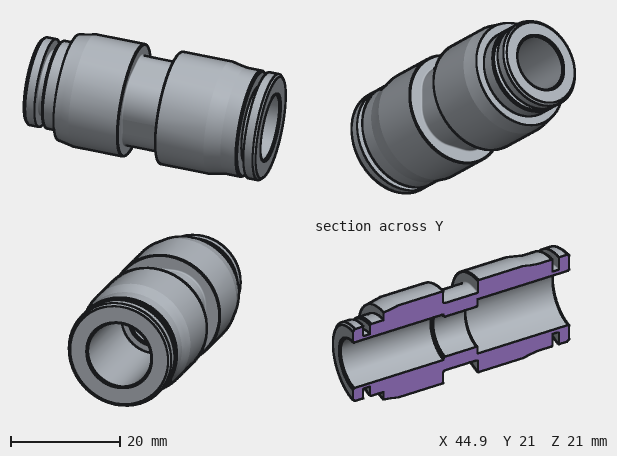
import cadquery as cq
import math

LENGTH = 44.9

FLANGE_WIDTH = 2.2
FLANGE_CHAMFER = 0.45
NECK_FILLET = 0.22
COLLAR_CHAMFER_LENGTH = 0.25
COLLAR_CHAMFER_DEPTH = 0.22
BODY_RADIUS = 10.5
CONE_SMALL_RADIUS = 9.92
CONE_LENGTH = 3.05
BODY_EDGE_CHAMFER = 0.15

WAIST_START = 18.8
WAIST_END = 25.9
WAIST_WIDTH = 15.35
WAIST_FLAT_WIDTH = 3.4
WAIST_CORNER_RADIUS = (WAIST_WIDTH - WAIST_FLAT_WIDTH) / 2
WAIST_FILLET = 0.25

SMALL_FLANGE_RADIUS = 8.2
SMALL_NECK_RADIUS = 6.0
SMALL_COLLAR_START = 3.55
SMALL_CONE_START = 6.38
SMALL_BORE_RADIUS = 5.1

LARGE_NECK_RADIUS = 7.15
LARGE_COLLAR_START = 3.45
LARGE_CONE_START = 6.55
LARGE_BORE_RADIUS = 6.1

PASSAGE_RADIUS = 4.5
PASSAGE_CHAMFER = 0.25
MOUTH_CHAMFER = 0.25


def sleeve(flange_radius, neck_radius, collar_start, cone_start, bore_radius):
    """Revolve flange, neck and collar, from the end face at X = 0 toward +X."""
    fillet_offset = NECK_FILLET * (1 - math.sqrt(0.5))
    return (
        cq.Workplane("XY")
        .moveTo(0, bore_radius + MOUTH_CHAMFER)
        .lineTo(0, flange_radius - FLANGE_CHAMFER)
        .lineTo(FLANGE_CHAMFER, flange_radius)
        .lineTo(FLANGE_WIDTH, flange_radius)
        .lineTo(FLANGE_WIDTH, neck_radius + NECK_FILLET)
        .threePointArc(
            (FLANGE_WIDTH + fillet_offset, neck_radius + fillet_offset),
            (FLANGE_WIDTH + NECK_FILLET, neck_radius),
        )
        .lineTo(collar_start, neck_radius)
        .lineTo(collar_start, flange_radius - COLLAR_CHAMFER_DEPTH)
        .lineTo(collar_start + COLLAR_CHAMFER_LENGTH, flange_radius)
        .lineTo(cone_start, flange_radius)
        .lineTo(cone_start, bore_radius)
        .lineTo(MOUTH_CHAMFER, bore_radius)
        .close()
        .revolve(360, (0, 0, 0), (1, 0, 0))
    )


def body(cone_start, bore_radius, body_end):
    """Revolve the coned body; its socket runs through to body_end."""
    return (
        cq.Workplane("XY")
        .moveTo(cone_start, bore_radius)
        .lineTo(cone_start, CONE_SMALL_RADIUS)
        .lineTo(cone_start + CONE_LENGTH, BODY_RADIUS)
        .lineTo(body_end - BODY_EDGE_CHAMFER, BODY_RADIUS)
        .lineTo(body_end, BODY_RADIUS - BODY_EDGE_CHAMFER)
        .lineTo(body_end, bore_radius)
        .close()
        .revolve(360, (0, 0, 0), (1, 0, 0))
    )


def fitting_end(flange_radius, neck_radius, collar_start, cone_start, bore_radius, body_end):
    """Join a sleeve to its body."""
    return sleeve(flange_radius, neck_radius, collar_start, cone_start, bore_radius).union(
        body(cone_start, bore_radius, body_end)
    )


def waist():
    """Build the rounded-square waist with the central passage through it."""
    return (
        cq.Workplane("YZ")
        .workplane(offset=WAIST_START - LENGTH / 2)
        .rect(WAIST_WIDTH, WAIST_WIDTH)
        .extrude(WAIST_END - WAIST_START)
        .edges("|X")
        .fillet(WAIST_CORNER_RADIUS)
        .faces(">X")
        .workplane(origin=(0, 0, 0))
        .hole(2 * PASSAGE_RADIUS)
        .edges(cq.selectors.RadiusNthSelector(0))
        .chamfer(PASSAGE_CHAMFER)
    )


def fillet_waist_roots(solid):
    """Round the corners where the waist meets the two bodies."""
    half_size = WAIST_WIDTH / 2 + WAIST_FILLET
    tolerance = WAIST_FILLET / 10
    for station in (WAIST_START, WAIST_END):
        x = station - LENGTH / 2
        root_edges = cq.selectors.BoxSelector(
            (x - tolerance, -half_size, -half_size),
            (x + tolerance, half_size, half_size),
            boundingbox=True,
        )
        socket_edges = cq.selectors.BoxSelector(
            (x - tolerance, -LARGE_NECK_RADIUS, -LARGE_NECK_RADIUS),
            (x + tolerance, LARGE_NECK_RADIUS, LARGE_NECK_RADIUS),
            boundingbox=True,
        )
        solid = solid.edges(root_edges - socket_edges).fillet(WAIST_FILLET)
    return solid


small_end = fitting_end(
    SMALL_FLANGE_RADIUS, SMALL_NECK_RADIUS, SMALL_COLLAR_START, SMALL_CONE_START,
    SMALL_BORE_RADIUS, WAIST_START,
).translate((-LENGTH / 2, 0, 0))

large_end = fitting_end(
    CONE_SMALL_RADIUS, LARGE_NECK_RADIUS, LARGE_COLLAR_START, LARGE_CONE_START,
    LARGE_BORE_RADIUS, LENGTH - WAIST_END,
).rotate((0, 0, 0), (0, 0, 1), 180).translate((LENGTH / 2, 0, 0))

result = fillet_waist_roots(waist().union(small_end).union(large_end))